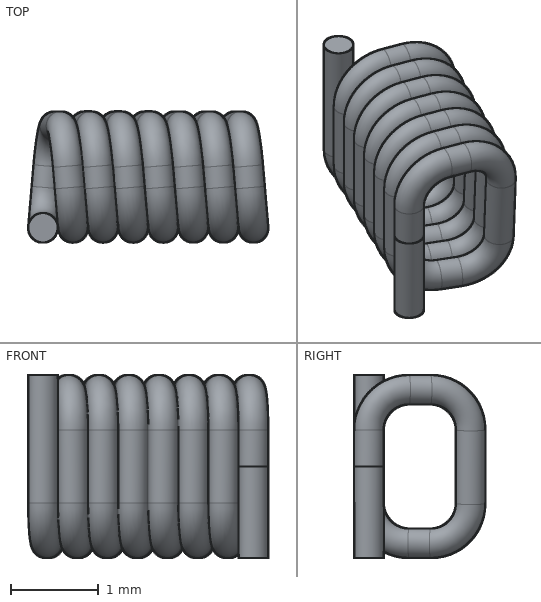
import cadquery as cq
import math

LENGTH = 2.74
DEPTH = 1.5
HEIGHT = 2.09

WIRE_DIAMETER = 0.34
TURNS = 7
BEND_RADIUS = 0.46
CROSS_SHIFT = 0.1

WIRE_RADIUS = WIRE_DIAMETER / 2
PITCH = (LENGTH - WIRE_DIAMETER) / TURNS
BACK_Y = (DEPTH - WIRE_DIAMETER) / 2
FRONT_Y = -BACK_Y
TOP_Z = (HEIGHT - WIRE_DIAMETER) / 2
BOTTOM_Z = -TOP_Z

LEAD_TOP_Z = HEIGHT / 2
LEAD_BOTTOM_Z = -HEIGHT / 2
JOINT_Z = 0.0
END_X = TURNS * PITCH


def turn_corners(start_x):
    """Sharp corners of one turn: down the upright front leg, then round by the leaning back leg."""
    return [
        cq.Vector(start_x, FRONT_Y, BOTTOM_Z),
        cq.Vector(start_x + CROSS_SHIFT, BACK_Y, BOTTOM_Z),
        cq.Vector(start_x + PITCH - CROSS_SHIFT, BACK_Y, TOP_Z),
        cq.Vector(start_x + PITCH, FRONT_Y, TOP_Z),
    ]


def bend_points(before, corner, after):
    """Start, middle and end of the bend arc that rounds one corner."""
    to_before = (before - corner).normalized()
    to_after = (after - corner).normalized()
    half_angle = to_before.getAngle(to_after) / 2
    setback = BEND_RADIUS / math.tan(half_angle)
    middle_distance = BEND_RADIUS / math.sin(half_angle) - BEND_RADIUS
    bisector = (to_before + to_after).normalized()
    return (
        corner + to_before * setback,
        corner + bisector * middle_distance,
        corner + to_after * setback,
    )


def winding_path():
    """Centre line of the winding: straight runs joined by tangent arcs."""
    points = [cq.Vector(0, FRONT_Y, LEAD_TOP_Z)]
    for turn in range(TURNS):
        points += turn_corners(turn * PITCH)
    points.append(cq.Vector(END_X, FRONT_Y, JOINT_Z))

    edges = []
    run_start = points[0]
    for before, corner, after in zip(points, points[1:], points[2:]):
        bend_start, bend_middle, bend_end = bend_points(before, corner, after)
        edges.append(cq.Edge.makeLine(run_start, bend_start))
        edges.append(cq.Edge.makeThreePointArc(bend_start, bend_middle, bend_end))
        run_start = bend_end
    edges.append(cq.Edge.makeLine(run_start, points[-1]))
    return cq.Wire.assembleEdges(edges)


def make_winding():
    """Round wire swept along the winding path."""
    wire_section = cq.Workplane("XY", origin=(0, FRONT_Y, LEAD_TOP_Z)).circle(WIRE_RADIUS)
    return wire_section.sweep(cq.Workplane(obj=winding_path()))


def make_end_lead():
    """Straight lead below the last front leg, butted against the end of the winding."""
    lead_section = cq.Workplane("XY", origin=(END_X, FRONT_Y, LEAD_BOTTOM_Z)).circle(WIRE_RADIUS)
    return lead_section.extrude(JOINT_Z - LEAD_BOTTOM_Z)


winding = make_winding()
end_lead = make_end_lead()

result = cq.Compound.makeCompound([winding.val(), end_lead.val()])